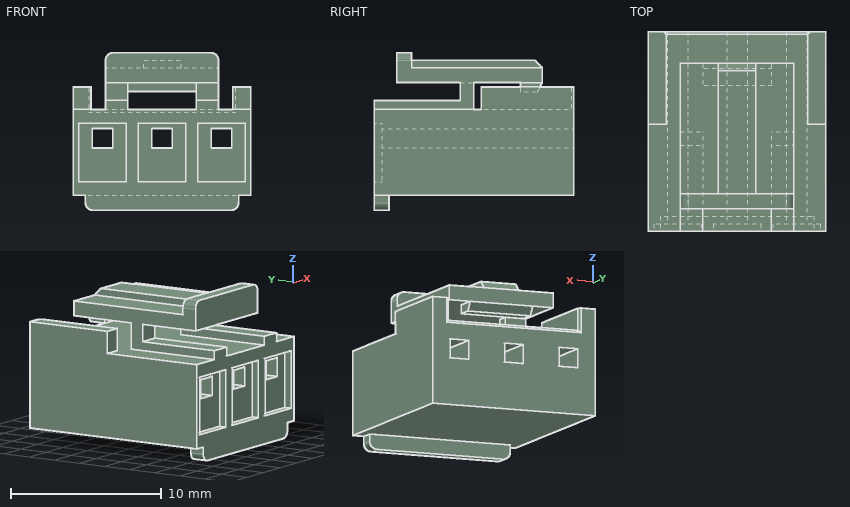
import cadquery as cq


circuit_count = 3
pitch = 3.96
block_width = 11.82
block_depth = 13.3
block_height = 5.72

ear_width = 1.2
ear_height = 1.5
ear_front_y = 7.12
rear_edge_chamfer = 0.17
chamfer_angle = 45

recess_width = 3.16
recess_height = 3.9
recess_bottom_z = 0.91
recess_depth = 0.5
passage_width = 1.34
passage_height = 1.28
passage_bottom_z = 3.16

lip_width = 10.22
lip_depth = 1.0
lip_height = 1.0

latch_width = 7.54
rail_width = 1.5
rail_height = 0.6
post_front_y = 5.72
post_thickness = 0.92

lever_front_y = 1.5
lever_rear_y = 11.2
lever_bottom_z = 7.5
lever_thickness = 1.0
rib_width = 2.52
rib_height = 0.5
press_bar_depth = 1.0
press_bar_height = 2.0
corner_radius = 0.52

hook_width = latch_width - 2 * rail_width
hook_front_y = 9.73
hook_height = 0.6
hook_slope_run = 0.35

lever_top_z = lever_bottom_z + lever_thickness
post_rear_y = post_front_y + post_thickness


def box(width, y_start, y_end, z_start, z_end, x_center=0):
    """Box centred on x_center that spans the given Y and Z ranges."""
    y_size = y_end - y_start
    z_size = z_end - z_start
    solid = cq.Workplane("XY").box(width, y_size, z_size, centered=(True, False, False))
    return solid.translate((x_center, y_start, z_start))


def side_profile(points, width):
    """Prism centred on X made from a closed (Y, Z) outline."""
    return cq.Workplane("YZ").polyline(points).close().extrude(width / 2, both=True)


def make_rear_chamfer():
    """Flared cut that chamfers the rear edges of the channel between the ears."""
    flare_width = block_width - 2 * ear_width + 2 * rear_edge_chamfer
    flare_bottom_z = block_height - rear_edge_chamfer
    flare_top_z = block_height + ear_height + 2 * rear_edge_chamfer
    flare_height = flare_top_z - flare_bottom_z
    flare_center = (0, block_depth, (flare_bottom_z + flare_top_z) / 2)
    flare = cq.Workplane("XZ", origin=flare_center).rect(flare_width, flare_height)
    return flare.extrude(rear_edge_chamfer, taper=chamfer_angle)


def make_ear(side):
    """Upright ear on one side (-1 or +1) of the block."""
    x_center = side * (block_width - ear_width) / 2
    return box(ear_width, ear_front_y, block_depth, block_height, block_height + ear_height, x_center)


def make_lip():
    """Lip under the front edge with rounded lower corners."""
    lip = box(lip_width, 0, lip_depth, -lip_height, 0)
    return lip.edges("|Y and <Z").fillet(corner_radius)


def make_latch_support(side):
    """Rail along the block top on one side, with the post that rises to the lever."""
    x_center = side * (latch_width - rail_width) / 2
    rail = box(rail_width, 0, post_rear_y, block_height, block_height + rail_height, x_center)
    post = box(rail_width, post_front_y, post_rear_y, block_height, lever_bottom_z, x_center)
    return rail.union(post)


def make_lever():
    """Lever plate with its central rib, press bar and locking hook."""
    plate = box(latch_width, lever_front_y, lever_rear_y, lever_bottom_z, lever_top_z)
    rib = side_profile(
        [
            (lever_front_y, lever_top_z),
            (lever_rear_y, lever_top_z),
            (lever_rear_y - rib_height, lever_top_z + rib_height),
            (lever_front_y, lever_top_z + rib_height),
        ],
        rib_width,
    )
    press_bar = box(
        latch_width,
        lever_front_y,
        lever_front_y + press_bar_depth,
        lever_bottom_z,
        lever_bottom_z + press_bar_height,
    )
    press_bar = press_bar.edges("|Y and >Z").fillet(corner_radius)
    hook = side_profile(
        [
            (hook_front_y, lever_bottom_z),
            (lever_rear_y, lever_bottom_z),
            (lever_rear_y - hook_slope_run, lever_bottom_z - hook_height),
            (hook_front_y, lever_bottom_z - hook_height),
        ],
        hook_width,
    )
    return plate.union(rib).union(press_bar).union(hook)


def make_circuit_opening(x_center):
    """Front recess and the rectangular passage running through the block."""
    recess_top_z = recess_bottom_z + recess_height
    passage_top_z = passage_bottom_z + passage_height
    recess = box(recess_width, 0, recess_depth, recess_bottom_z, recess_top_z, x_center)
    passage = box(passage_width, 0, block_depth, passage_bottom_z, passage_top_z, x_center)
    return recess.union(passage)


housing = box(block_width, 0, block_depth, 0, block_height)
housing = housing.union(make_lip()).union(make_lever())
for side in (-1, 1):
    housing = housing.union(make_ear(side)).union(make_latch_support(side))
housing = housing.cut(make_rear_chamfer())

for index in range(circuit_count):
    circuit_x = (index - (circuit_count - 1) / 2) * pitch
    housing = housing.cut(make_circuit_opening(circuit_x))

result = housing